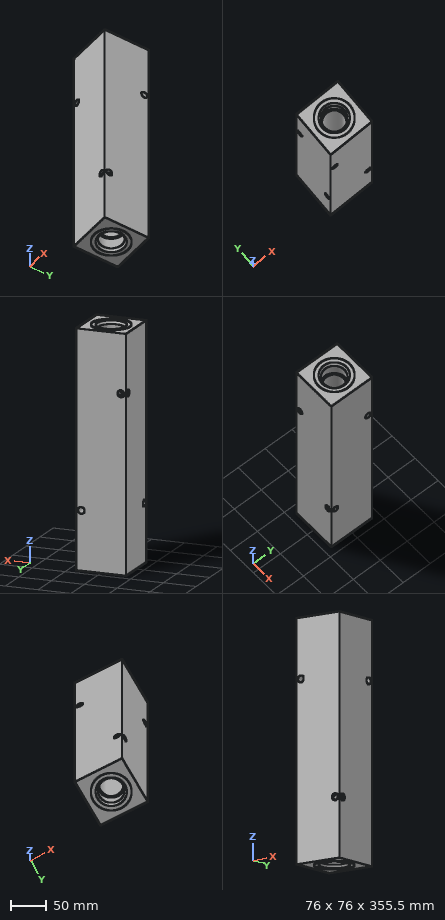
import cadquery as cq

length = 355.5
width = 76.0

bore_diameter = 34.5
spotface_diameter = 57.5
spotface_depth = 0.7
mouth_diameter = 44.0
mouth_taper_diameter = 41.0
mouth_taper_depth = 3.0
port_diameter = 37.7
port_depth = 22.5

cross_hole_diameter = 10.0
cross_hole_offset = 30.2
cross_hole_height = length / 4


def port_cutter():
    """Top port as one revolved solid, its depths counted from the spotface down."""
    seat = length - spotface_depth
    taper_end = seat - mouth_taper_depth
    lead_in = (mouth_taper_diameter - port_diameter) / 2
    port_end = seat - port_depth
    bore_chamfer = (port_diameter - bore_diameter) / 2
    return (
        cq.Workplane("XZ")
        .moveTo(0, length)
        .lineTo(spotface_diameter / 2, length)
        .lineTo(spotface_diameter / 2, seat)
        .lineTo(mouth_diameter / 2, seat)
        .lineTo(mouth_taper_diameter / 2, taper_end)
        .lineTo(port_diameter / 2, taper_end - lead_in)
        .lineTo(port_diameter / 2, port_end)
        .lineTo(bore_diameter / 2, port_end - bore_chamfer)
        .lineTo(0, port_end - bore_chamfer)
        .close()
        .revolve(360, (0, 0, 0), (0, 1, 0))
    )


def cross_holes(plane, lower_side):
    """Two holes across the block: one low, one high on the opposite edge."""
    low = (lower_side * cross_hole_offset, cross_hole_height)
    high = (-lower_side * cross_hole_offset, length - cross_hole_height)
    return (
        cq.Workplane(plane)
        .pushPoints([low, high])
        .circle(cross_hole_diameter / 2)
        .extrude(width / 2, both=True)
    )


block = cq.Workplane("XY").rect(width, width).extrude(length)
bore = cq.Workplane("XY").circle(bore_diameter / 2).extrude(length)
top_port = port_cutter()
bottom_port = top_port.mirror("XY", (0, 0, length / 2))

result = block.cut(bore).cut(top_port).cut(bottom_port)
result = result.cut(cross_holes("XZ", 1)).cut(cross_holes("YZ", -1))